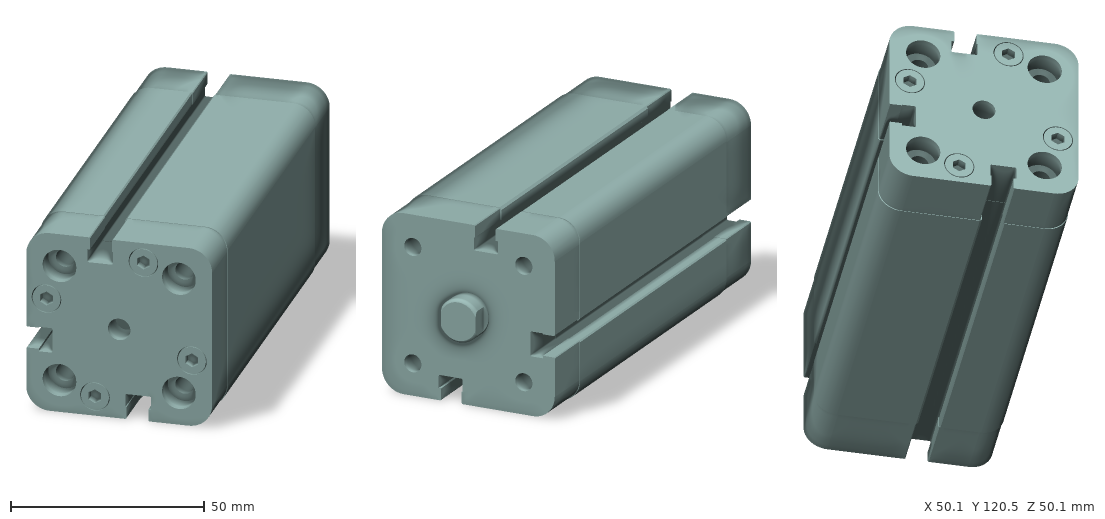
import cadquery as cq
import math

cap_side = 49.9
barrel_side = 50.1
overall_length = 120.5
rod_stub_length = 5.9
housing_length = overall_length - rod_stub_length
cap_length = 14.6
barrel_length = housing_length - 2 * cap_length

barrel_corner_radius = 6
cap_corner_radius = 6.3

slot_turns = (0, 90, 180)
slot_depth = 7.0
slot_neck_depth = 3.4
slot_undercut_left = -8.5
slot_undercut_right = -1.7
slot_floor_fillet = 0.4
cap_neck_left = -7.8
cap_neck_right = -1.9
barrel_neck_left = -8.0
barrel_neck_right = -2.4
cap_edge_chamfer = 0.2
barrel_left_chamfer = 0.4
barrel_right_chamfer = 0.6

mount_offset = 16.0
mount_hole_diameter = 5.0
mount_bore_diameter = 9.0
mount_bore_depth = 5.5

center_hole_diameter = 6
center_hole_depth = 7.2

screw_x = 6.5
screw_z = 19.5
screw_recess_diameter = 8.0
screw_head_diameter = 7.5
screw_recess_depth = 3.6
hex_across_flats = 3.4
hex_depth = 2.4

rod_diameter = 12
rod_flats_width = 10.0
rod_flat_length = 4.6
rod_tip_length = 1.2
rod_tip_inset = 0.7


def section_plane(y):
    """Plane across the length at y: local x is X, local y is Z, the normal is -Y."""
    return cq.Workplane("XZ", origin=(0, y, 0))


def turned(solid, angle):
    """Turn a solid about the long axis, from the top face to the left face and on."""
    return solid.rotate((0, 0, 0), (0, -1, 0), angle)


def slot_cutter(y_start, length, top, neck_left, neck_right, chamfer_left, chamfer_right):
    """T-slot opening on the top face, whose height is given."""
    neck_bottom = top - slot_neck_depth
    floor = top - slot_depth
    undercut = (
        section_plane(y_start)
        .moveTo(slot_undercut_left, floor)
        .lineTo(slot_undercut_right, floor)
        .lineTo(slot_undercut_right, neck_bottom)
        .lineTo(slot_undercut_left, neck_bottom)
        .close()
        .extrude(-length)
        .edges("|Y and <Z")
        .fillet(slot_floor_fillet)
    )
    outline = [
        (neck_left, neck_bottom),
        (neck_right, neck_bottom),
        (neck_right, top - chamfer_right),
        (neck_right + chamfer_right, top),
        (neck_left - chamfer_left, top),
        (neck_left, top - chamfer_left),
    ]
    neck = section_plane(y_start).polyline(outline).close().extrude(-length)
    return undercut.union(neck)


def slotted_block(y_start, length, width, corner_radius, neck):
    """Square block with rounded corners and T-slots in the top, left and bottom faces."""
    block = section_plane(y_start).rect(width, width).extrude(-length).edges("|Y").fillet(corner_radius)
    cutter = slot_cutter(y_start, length, width / 2, *neck)
    for angle in slot_turns:
        block = block.cut(turned(cutter, angle))
    return block


def rod_stub():
    """Round rod end with a slim rounded tip and two wrench flats facing left and right."""
    radius = rod_diameter / 2
    tip_radius = radius - rod_tip_inset
    stub = (
        cq.Workplane("XY")
        .moveTo(0, housing_length)
        .lineTo(radius, housing_length)
        .lineTo(radius, overall_length - rod_tip_length)
        .tangentArcPoint((tip_radius, overall_length), relative=False)
        .lineTo(0, overall_length)
        .close()
        .revolve(360, (0, 0, 0), (0, 1, 0))
    )
    half_flats = rod_flats_width / 2
    flat_end = overall_length - rod_flat_length
    run_out = radius - half_flats
    flat = (
        cq.Workplane("XY")
        .moveTo(half_flats, overall_length)
        .lineTo(half_flats, flat_end)
        .lineTo(half_flats + run_out, flat_end - run_out)
        .lineTo(half_flats + run_out, overall_length)
        .close()
        .extrude(radius, both=True)
    )
    return stub.cut(flat).cut(flat.mirror("YZ"))


def cap_screw(x, z):
    """Socket head, flush with the front face; the socket has corners pointing up and down."""
    hex_corner_diameter = hex_across_flats / math.cos(math.pi / 6)
    seat = section_plane(0).center(x, z)
    head = seat.circle(screw_head_diameter / 2).extrude(-screw_recess_depth)
    socket = seat.transformed(rotate=(0, 0, 90)).polygon(6, hex_corner_diameter).extrude(-hex_depth)
    return head.cut(socket)


cap_neck = (cap_neck_left, cap_neck_right, cap_edge_chamfer, cap_edge_chamfer)
barrel_neck = (barrel_neck_left, barrel_neck_right, barrel_left_chamfer, barrel_right_chamfer)

result = slotted_block(0, cap_length, cap_side, cap_corner_radius, cap_neck)
result = result.union(slotted_block(cap_length, barrel_length, barrel_side, barrel_corner_radius, barrel_neck))
rear_cap_start = cap_length + barrel_length
result = result.union(slotted_block(rear_cap_start, cap_length, cap_side, cap_corner_radius, cap_neck))
result = result.union(rod_stub())

mounts = section_plane(0).rect(2 * mount_offset, 2 * mount_offset, forConstruction=True).vertices()
result = result.cut(mounts.circle(mount_hole_diameter / 2).extrude(-housing_length))
result = result.cut(mounts.circle(mount_bore_diameter / 2).extrude(-mount_bore_depth))

result = result.cut(section_plane(0).circle(center_hole_diameter / 2).extrude(-center_hole_depth))

for turn in range(4):
    angle = turn * math.pi / 2
    x = screw_x * math.cos(angle) - screw_z * math.sin(angle)
    z = screw_x * math.sin(angle) + screw_z * math.cos(angle)
    recess = section_plane(0).center(x, z).circle(screw_recess_diameter / 2).extrude(-screw_recess_depth)
    result = result.cut(recess).union(cap_screw(x, z))